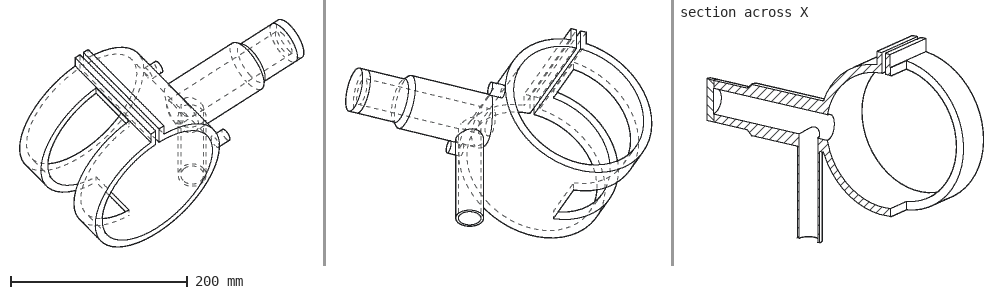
import cadquery as cq

RING_WIDTH = 138.0
RING_OUTER_RADIUS = 90.0
RING_INNER_RADIUS = 79.8
WINDOW_WIDTH = 60.0
WINDOW_START_Y = -10.0

FLANGE_TOP = 105.0
SPLIT_GAP = 4.7
FLANGE_THICKNESS = 7.0
FLANGE_OUTER_Y = SPLIT_GAP / 2 + FLANGE_THICKNESS

TOTAL_LENGTH = 336.7
TOWER_END = TOTAL_LENGTH - RING_OUTER_RADIUS
TOWER_RADIUS = 31.0
NECK_RADIUS = 25.3
NECK_START = 190.5
TAPER_LENGTH = 6.0
CAP_THICKNESS = 9.5
NECK_END = TOWER_END - CAP_THICKNESS
BORE_RADIUS = 15.0

OUTLET_RADIUS = 15.8
OUTLET_BORE_RADIUS = 12.8
OUTLET_Y = 105.0
OUTLET_BOTTOM = -140.5

PIN_RADIUS = 7.5
PIN_SPACING = 122.5
PIN_END = 105.5

ROOT_Y = 82.5


def cylinder_along_y(radius, start, end, x=0):
    """Solid cylinder parallel to Y between two Y positions."""
    return cq.Workplane(cq.Solid.makeCylinder(
        radius, end - start, cq.Vector(x, start, 0), cq.Vector(0, 1, 0)))


def cylinder_along_x(radius):
    """Solid cylinder on the ring axis, as wide as the ring."""
    return cq.Workplane("YZ", origin=(-RING_WIDTH / 2, 0, 0)).circle(radius).extrude(RING_WIDTH)


def make_ring():
    """Split clamp ring with flanges and a window through its front half."""
    ring = cylinder_along_x(RING_OUTER_RADIUS)
    flanges = cq.Workplane("XY").box(
        RING_WIDTH, 2 * FLANGE_OUTER_Y, FLANGE_TOP, centered=(True, True, False))
    ring = ring.union(flanges).cut(cylinder_along_x(RING_INNER_RADIUS))
    split = cq.Workplane("XY").box(
        RING_WIDTH, SPLIT_GAP, FLANGE_TOP, centered=(True, True, False))
    window = (
        cq.Workplane("XY")
        .box(WINDOW_WIDTH, RING_OUTER_RADIUS, 2 * RING_OUTER_RADIUS)
        .translate((0, WINDOW_START_Y - RING_OUTER_RADIUS / 2, 0))
    )
    return ring.cut(split).cut(window)


def make_tower():
    """Stepped tower with a conical shoulder, starting in the ring wall."""
    profile = [
        (0, ROOT_Y),
        (TOWER_RADIUS, ROOT_Y),
        (TOWER_RADIUS, NECK_START - TAPER_LENGTH),
        (NECK_RADIUS, NECK_START),
        (NECK_RADIUS, NECK_END),
        (0, NECK_END),
    ]
    return cq.Workplane("XY").polyline(profile).close().revolve(360, (0, 0, 0), (0, 1, 0))


def make_outlet(radius):
    """Cylinder of the outlet branch, from the tower axis down to its free end."""
    return (
        cq.Workplane("XY", origin=(0, OUTLET_Y, OUTLET_BOTTOM))
        .circle(radius)
        .extrude(-OUTLET_BOTTOM)
    )


def make_saddle():
    """Ring, tower, outlet and terminal pins in one piece, with both bores."""
    saddle = make_ring().union(make_tower()).union(make_outlet(OUTLET_RADIUS))
    for x in (-PIN_SPACING / 2, PIN_SPACING / 2):
        saddle = saddle.union(cylinder_along_y(PIN_RADIUS, ROOT_Y, PIN_END, x))
    saddle = saddle.cut(make_outlet(OUTLET_BORE_RADIUS))
    return saddle.cut(cylinder_along_y(BORE_RADIUS, 0, NECK_END))


def make_cap():
    """Disc closing the end of the tower."""
    return cylinder_along_y(NECK_RADIUS, NECK_END, TOWER_END)


saddle = make_saddle()
cap = make_cap()
result = cq.Compound.makeCompound([saddle.val(), cap.val()])